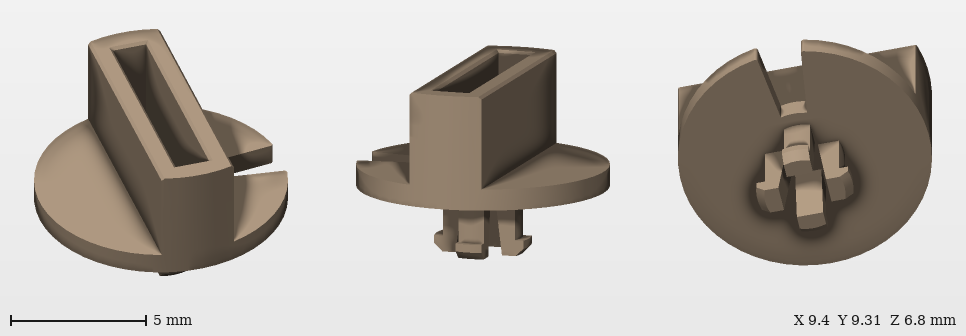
import cadquery as cq
import math

disc_radius = 4.7
disc_thickness = 0.8

grip_width = 2.8
grip_height = 3.5
pocket_length = 7.7
pocket_width = 1.3
pocket_depth = grip_height
edge_chamfer = 0.1

notch_inner_radius = 2.0
notch_inner_half_width = 0.5
taper_angle = 7.0
notch_corner_radius = 0.1

prong_count = 4
prong_length = 2.5
prong_width = 1.0
prong_outer_radius = 1.485
prong_root_inner = 0.59
hook_radius = 1.805
hook_height = 0.6
hook_chamfer = 0.3

taper = math.tan(math.radians(taper_angle))


def make_disc():
    """Disc with the rim notch and its rounded outer corners."""
    inner_y = math.sqrt(notch_inner_radius**2 - notch_inner_half_width**2)
    outer_y = disc_radius + edge_chamfer
    outer_half_width = notch_inner_half_width + (outer_y - inner_y) * taper
    notch = (
        cq.Workplane("XY")
        .moveTo(-notch_inner_half_width, inner_y)
        .threePointArc((0, notch_inner_radius), (notch_inner_half_width, inner_y))
        .lineTo(outer_half_width, outer_y)
        .lineTo(-outer_half_width, outer_y)
        .close()
        .extrude(disc_thickness)
    )
    disc = cq.Workplane("XY").circle(disc_radius).extrude(disc_thickness).cut(notch)
    corner_zone = cq.selectors.BoxSelector(
        (-outer_half_width, notch_inner_radius * 2, 0),
        (outer_half_width, outer_y, disc_thickness),
    )
    return disc.edges("|Z").edges(corner_zone).fillet(notch_corner_radius)


def make_grip():
    """Bar with ends following the disc rim, chamfered long edges and a pocket."""
    top_z = disc_thickness + grip_height
    bar = (
        cq.Workplane("XY")
        .box(2 * disc_radius, grip_width, top_z, centered=(True, True, False))
        .edges("|X and >Z")
        .chamfer(edge_chamfer)
    )
    rim = cq.Workplane("XY").circle(disc_radius).extrude(top_z)
    pocket = (
        cq.Workplane("XY")
        .workplane(offset=top_z - pocket_depth)
        .rect(pocket_length, pocket_width)
        .extrude(pocket_depth)
    )
    mouth = (
        cq.Workplane("XY")
        .workplane(offset=top_z)
        .rect(pocket_length + 2 * edge_chamfer, pocket_width + 2 * edge_chamfer)
        .workplane(offset=-edge_chamfer)
        .rect(pocket_length, pocket_width)
        .loft(ruled=True)
    )
    return bar.intersect(rim).cut(pocket).cut(mouth)


def make_prong():
    """Prong along +X: round hooked outside, flat sides, flat tapered inside."""
    hook_top = hook_height - prong_length
    revolved = (
        cq.Workplane("XZ")
        .polyline([
            (0, 0),
            (prong_outer_radius, 0),
            (prong_outer_radius, hook_top),
            (hook_radius, hook_top),
            (hook_radius, hook_chamfer - prong_length),
            (hook_radius - hook_chamfer, -prong_length),
            (0, -prong_length),
        ])
        .close()
        .revolve(360, (0, 0, 0), (0, 1, 0))
    )
    tip_inner = prong_root_inner + prong_length * taper
    section = (
        cq.Workplane("XZ")
        .polyline([
            (prong_root_inner, 0),
            (hook_radius, 0),
            (hook_radius, -prong_length),
            (tip_inner, -prong_length),
        ])
        .close()
        .extrude(prong_width / 2, both=True)
    )
    return revolved.intersect(section)


result = make_disc().union(make_grip())
prong = make_prong()
for index in range(prong_count):
    result = result.union(prong.rotate((0, 0, 0), (0, 0, 1), index * 360 / prong_count))